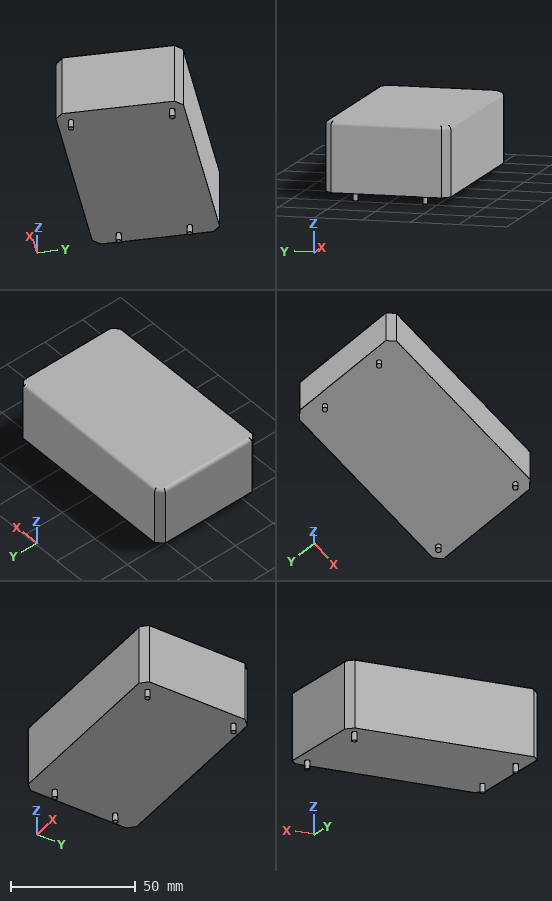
import cadquery as cq

length = 87.0
width = 52.0
total_height = 33.0
pin_length = 3.65
body_height = total_height - pin_length

corner_chamfer = 3.05
top_radius = 1.9

left_pin_x = -38.2
right_pin_x = 38.0
pin_embed = 0.9
left_pin_diameter = 2.1
right_pin_diameter = 2.2
left_pin_rows = (14.3, -14.7)
right_pin_rows = (21.0, -20.3)


def make_body():
    """Block with chamfered vertical corners and a rounded top rim; underside at Z = 0."""
    block = cq.Workplane("XY").box(length, width, body_height, centered=(True, True, False))
    block = block.edges("|Z").chamfer(corner_chamfer)
    return block.faces(">Z").edges().fillet(top_radius)


def make_pins(x, rows, diameter):
    """Round pins hanging below the body, rooted slightly inside it."""
    return (
        cq.Workplane("XY", origin=(0, 0, -pin_length))
        .pushPoints([(x, y) for y in rows])
        .circle(diameter / 2)
        .extrude(pin_length + pin_embed)
    )


left_pins = make_pins(left_pin_x, left_pin_rows, left_pin_diameter)
right_pins = make_pins(right_pin_x, right_pin_rows, right_pin_diameter)
result = make_body().union(left_pins).union(right_pins)